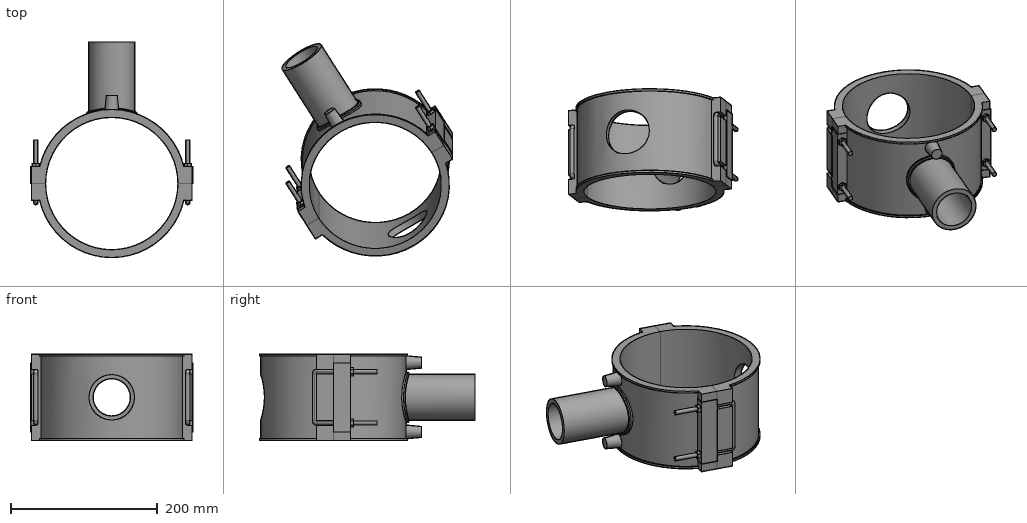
import cadquery as cq
import math

WIDTH = 118.0
BORE_RADIUS = 90.0
BODY_RADIUS = 99.2
RIM_RADIUS = 101.0
RIM_HEIGHT = 3.0
TAPPING_HOLE_DIAMETER = 61.74

LUG_REACH = 109.5
LUG_DEPTH = 23.0

PLATE_REACH = 110.5
PLATE_DEPTH = 23.5
PLATE_WIDTH = 94.0

ROD_DIAMETER = 6.0
ROD_X = 103.5
ROD_Z = 35.0
ROD_END_Y = 59.5
BEND_RADIUS = 3.1
CROSSBAR_SEATING = 0.1
CROSSBAR_Y = -LUG_DEPTH - ROD_DIAMETER / 2 + CROSSBAR_SEATING
SLOT_WIDTH = 6.2
NUT_FLATS = 10.0
NUT_HEIGHT = 4.0

BRANCH_DIAMETER = 63.0
BRANCH_BORE_DIAMETER = 50.4
BRANCH_END_Y = 193.0
COLLAR_DIAMETER = 69.3
COLLAR_OUTER_RADIUS = 103.0
COLLAR_CHAMFER = 1.5

STUD_Z = 47.2
STUD_END_Y = 120.0
STUD_TIP_DIAMETER = 15.2
STUD_BASE_DIAMETER = 20.0


def ring_cylinder(radius, height):
    """Cylinder on the main axis, centred on Z = 0."""
    return cq.Workplane("XY", origin=(0, 0, -height / 2)).circle(radius).extrude(height)


def rod_along_y(diameter, x, z, start_y, end_y):
    """Round bar parallel to Y."""
    plane = cq.Plane(origin=(x, start_y, z), xDir=(1, 0, 0), normal=(0, 1, 0))
    return cq.Workplane(plane).circle(diameter / 2).extrude(end_y - start_y)


def half_space(side):
    """Block holding everything on one side (+1 or -1) of the split plane."""
    size = 2 * LUG_REACH
    return cq.Workplane("XY").box(size, size, WIDTH).translate((0, side * size / 2, 0))


def make_shell():
    """Ring body with raised end rims and lugs, still without its bore."""
    shell = ring_cylinder(BODY_RADIUS, WIDTH)
    for side in (-1, 1):
        rim = ring_cylinder(RIM_RADIUS, RIM_HEIGHT)
        shell = shell.union(rim.translate((0, 0, side * (WIDTH - RIM_HEIGHT) / 2)))
    lugs = cq.Workplane("XY").box(2 * LUG_REACH, 2 * LUG_DEPTH, WIDTH)
    return shell.union(lugs)


def make_slot(side, z):
    """Slot in a lower lug, open to the outside, that takes a U-bolt leg."""
    length = LUG_REACH - ROD_X
    slot = cq.Workplane("XY").box(length, LUG_DEPTH, SLOT_WIDTH)
    slot = slot.translate((ROD_X + length / 2, -LUG_DEPTH / 2, z))
    return slot if side > 0 else slot.mirror("YZ")


def make_plates():
    """Plates wrapped over the outer and upper faces of the upper lugs."""
    plates = cq.Workplane("XY").box(2 * PLATE_REACH, PLATE_DEPTH, PLATE_WIDTH)
    return plates.translate((0, PLATE_DEPTH / 2, 0))


def make_u_bolt(side):
    """U-shaped rod with a hexagon nut on each leg."""
    plane = cq.Plane(origin=(side * ROD_X, 0, 0), xDir=(0, 1, 0), normal=(1, 0, 0))
    bend_y = CROSSBAR_Y + BEND_RADIUS
    bend_z = ROD_Z - BEND_RADIUS
    bend_mid = BEND_RADIUS * math.sqrt(0.5)
    path = (
        cq.Workplane(plane)
        .moveTo(ROD_END_Y, ROD_Z)
        .lineTo(bend_y, ROD_Z)
        .threePointArc((bend_y - bend_mid, bend_z + bend_mid), (CROSSBAR_Y, bend_z))
        .lineTo(CROSSBAR_Y, -bend_z)
        .threePointArc((bend_y - bend_mid, -bend_z - bend_mid), (bend_y, -ROD_Z))
        .lineTo(ROD_END_Y, -ROD_Z)
    )
    start = cq.Plane(origin=(side * ROD_X, ROD_END_Y, ROD_Z), xDir=(1, 0, 0), normal=(0, -1, 0))
    bolt = cq.Workplane(start).circle(ROD_DIAMETER / 2).sweep(path)
    nut_corners = NUT_FLATS / math.cos(math.pi / 6)
    for z in (-ROD_Z, ROD_Z):
        nut_plane = cq.Plane(origin=(side * ROD_X, PLATE_DEPTH, z), xDir=(0, 0, 1), normal=(0, 1, 0))
        nut = cq.Workplane(nut_plane).polygon(6, nut_corners).extrude(NUT_HEIGHT)
        bolt = bolt.union(nut)
    return bolt


def make_collar():
    """Weld collar that follows the ring surface around the branch pipe."""
    collar = rod_along_y(COLLAR_DIAMETER, 0, 0, 0, BRANCH_END_Y)
    collar = collar.intersect(ring_cylinder(COLLAR_OUTER_RADIUS, WIDTH))
    return collar.faces(">Y").chamfer(COLLAR_CHAMFER)


def make_stud(side):
    """Tapered terminal stud that starts inside the ring wall."""
    start_y = (BORE_RADIUS + BODY_RADIUS) / 2
    plane = cq.Plane(origin=(0, start_y, side * STUD_Z), xDir=(1, 0, 0), normal=(0, 1, 0))
    return (
        cq.Workplane(plane)
        .circle(STUD_BASE_DIAMETER / 2)
        .workplane(offset=STUD_END_Y - start_y)
        .circle(STUD_TIP_DIAMETER / 2)
        .loft()
    )


def make_upper_half(shell):
    """Half with the branch pipe, studs and pressure plates."""
    half = shell.intersect(half_space(1)).union(make_plates()).union(make_collar())
    half = half.union(rod_along_y(BRANCH_DIAMETER, 0, 0, 0, BRANCH_END_Y))
    for side in (-1, 1):
        half = half.union(make_stud(side))
    half = half.cut(ring_cylinder(BORE_RADIUS, WIDTH))
    return half.cut(rod_along_y(BRANCH_BORE_DIAMETER, 0, 0, 0, BRANCH_END_Y))


def make_lower_half(shell):
    """Half with the tapping hole and the open slots for the U-bolts."""
    half = shell.intersect(half_space(-1)).cut(ring_cylinder(BORE_RADIUS, WIDTH))
    half = half.cut(rod_along_y(TAPPING_HOLE_DIAMETER, 0, 0, -RIM_RADIUS, 0))
    for side in (-1, 1):
        for z in (-ROD_Z, ROD_Z):
            half = half.cut(make_slot(side, z))
    return half


ring_shell = make_shell()
result = make_upper_half(ring_shell).union(make_lower_half(ring_shell), clean=False)
for bolt_side in (-1, 1):
    result = result.union(make_u_bolt(bolt_side), clean=False)